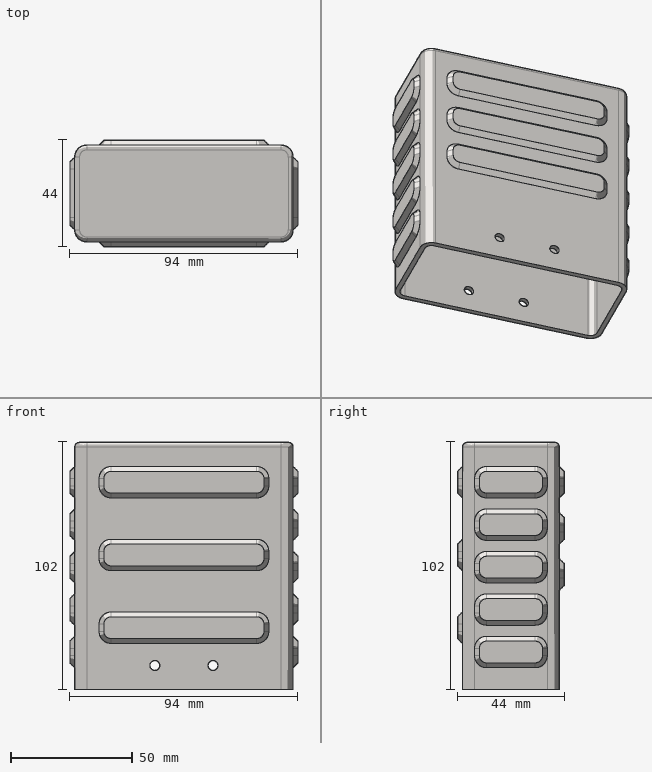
import cadquery as cq

full_width = 94.0
full_depth = 44.0
height = 102.0

body_depth = 40.0
rib_height = (full_depth - body_depth) / 2
body_width = full_width - 2 * rib_height
corner_radius = 5.0
top_edge_radius = 2.0
wall = 2.0

rib_width = 13.0
rib_corner_radius = 5.0
long_rib_length = 70.0
short_rib_length = 30.0
rib_bevel_angle = 45.0
top_rib_z = height - 10.0 - rib_width / 2

front_rib_count = 3
front_rib_span = 60.0
back_rib_count = 3
back_rib_span = 38.0
side_rib_count = 5
side_rib_span = 70.0

hole_diameter = 4.0
hole_spacing = 24.0
hole_z = 10.0


def rounded_block(width, depth, block_height, radius):
    """Upright block standing on Z = 0 with rounded vertical edges."""
    block = cq.Workplane("XY").rect(width, depth).extrude(block_height)
    return block.edges("|Z").fillet(radius)


def make_shell():
    """Rounded box with a plain cavity that opens downwards."""
    outer = rounded_block(body_width, body_depth, height, corner_radius)
    outer = outer.faces(">Z").edges().fillet(top_edge_radius)
    cavity = rounded_block(
        body_width - 2 * wall,
        body_depth - 2 * wall,
        height - wall,
        corner_radius - wall,
    )
    return outer.cut(cavity)


def wall_ribs(outward, wall_distance, length, count, span):
    """Column of horizontal ribs on the wall that faces the outward direction."""
    pitch = span / (count - 1)
    wall_plane = cq.Plane(
        origin=outward * wall_distance,
        xDir=cq.Vector(0, 0, 1).cross(outward),
        normal=outward,
    )
    outline = cq.Sketch().rect(length, rib_width).vertices().fillet(rib_corner_radius)
    places = [(0, top_rib_z - i * pitch) for i in range(count)]
    return (
        cq.Workplane(wall_plane)
        .pushPoints(places)
        .placeSketch(outline)
        .extrude(rib_height, taper=rib_bevel_angle)
    )


def make_screw_holes():
    """Pair of pins along Y that pierce the front and back walls."""
    return (
        cq.Workplane("XZ")
        .pushPoints([(-hole_spacing / 2, hole_z), (hole_spacing / 2, hole_z)])
        .circle(hole_diameter / 2)
        .extrude(full_depth / 2, both=True)
    )


front = cq.Vector(0, -1, 0)
back = cq.Vector(0, 1, 0)
left = cq.Vector(-1, 0, 0)
right = cq.Vector(1, 0, 0)

result = make_shell()
result = result.union(wall_ribs(front, body_depth / 2, long_rib_length, front_rib_count, front_rib_span))
result = result.union(wall_ribs(back, body_depth / 2, long_rib_length, back_rib_count, back_rib_span))
for side in (left, right):
    result = result.union(wall_ribs(side, body_width / 2, short_rib_length, side_rib_count, side_rib_span))
result = result.cut(make_screw_holes())